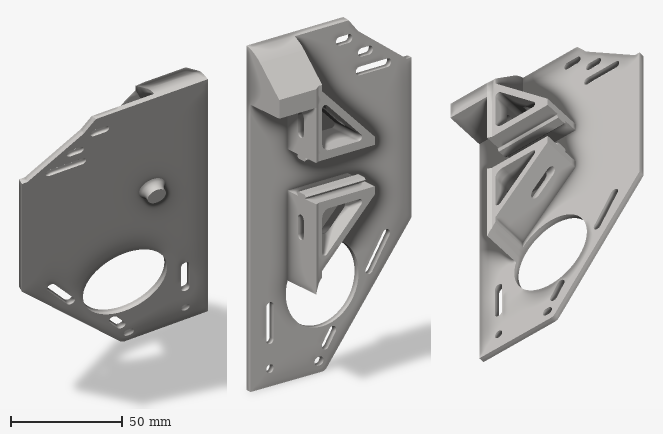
import cadquery as cq
import math

DEPTH = 29.0
WIDTH = 91.8
HEIGHT = 167.5

PLATE_THICKNESS = 3.0
BOSS_LENGTH = 5.0
PLATE_BACK = DEPTH - BOSS_LENGTH
PLATE_FRONT = PLATE_BACK - PLATE_THICKNESS
TOP_CORNER_Y = 36.5
BEVEL_Y = 30.5
BEVEL_Z = 160.1
SHOULDER_Y = 2.7
SHOULDER_Z = 139.7
LOWER_CORNER_Z = 62.1
BOTTOM_CORNER_Y = 49.4
BOTTOM_RISE = 0.3
BOTTOM_CORNER_RADIUS = 3.27
JOINT_Z = 17.0

BORE_DIAMETER = 41.5
BORE_Y = 50.9
BORE_Z = 42.7
SLOT_WIDTH = 4.2
PLATE_SLOTS = [
    ((41.0, 157.8), (35.8, 157.8)),
    ((28.5, 149.2), (24.1, 149.2)),
    ((29.6, 140.5), (13.7, 140.5)),
    ((80.7, 39.0), (80.7, 23.0)),
    ((14.4, 57.8), (24.1, 42.7)),
    ((45.0, 18.6), (49.0, 12.4)),
    ((53.3, 5.5), (52.3, 5.5)),
]
PIN_HOLE_DIAMETER = 4.2
PIN_HOLE_Y = 80.7
PIN_HOLE_Z = 8.9

SLOPE_FOOT_Z = 148.7
CROWN_START_X = 14.0
CROWN_START_Z = 162.3

MIDDLE_Z = 102.8
SEAT_OFFSET = 10.0
GUSSET_INNER_Y = 70.7
WALL_THICKNESS = 4.0
WALL_Y = GUSSET_INNER_Y - WALL_THICKNESS
TIP_Y = 36.7
TIP_HEIGHT = 4.0
BRACE_TOP_OFFSET = 43.5
FACE_SETBACK = 0.8
BEVEL_WIDTH = 2.0

SHELF_THICKNESS = 4.0
BRACE_THICKNESS = 3.3
POCKET_CORNER_RADIUS = 4.0
POCKET_TIP_RADIUS = 1.7

GUSSET_SLOT_X = 11.2
GUSSET_SLOT_OFFSET = 24.8
GUSSET_SLOT_LENGTH = 12.2

RIDGE_X = 10.7
RIDGE_BASE_WIDTH = 5.4
RIDGE_MIDDLE_WIDTH = 6.4
RIDGE_TOP_WIDTH = 4.5
RIDGE_HEIGHT = 2.0

BOSS_Y = 64.3
BOSS_Z = 103.2
BOSS_DIAMETER = 9.0
BOSS_BASE_DIAMETER = 13.0
BOSS_RIM_LENGTH = 1.2


def roof_prism(bottom_z, y_start, y_end):
    """Prism along Y with the sloped and crowned top, from bottom_z upward."""
    return (
        cq.Workplane("XZ", origin=(0, y_start, 0))
        .moveTo(0, bottom_z)
        .lineTo(0, SLOPE_FOOT_Z)
        .lineTo(CROWN_START_X, CROWN_START_Z)
        .tangentArcPoint((PLATE_BACK, HEIGHT), relative=False)
        .lineTo(PLATE_BACK, bottom_z)
        .close()
        .extrude(y_start - y_end)
    )


def slot_cutter(end_a, end_b):
    """Round-ended slot through the plate between two (Y, Z) end centres."""
    run = end_b[0] - end_a[0]
    rise = end_b[1] - end_a[1]
    centre_y = (end_a[0] + end_b[0]) / 2
    centre_z = (end_a[1] + end_b[1]) / 2
    return (
        cq.Workplane("YZ", origin=(PLATE_FRONT, 0, 0))
        .center(centre_y, centre_z)
        .slot2D(math.hypot(run, rise) + SLOT_WIDTH, SLOT_WIDTH, math.degrees(math.atan2(rise, run)))
        .extrude(PLATE_THICKNESS)
    )


def bore_cutter():
    """Large bore along X, through the plate and the lower gusset wall."""
    return (
        cq.Workplane("YZ")
        .center(BORE_Y, BORE_Z)
        .circle(BORE_DIAMETER / 2)
        .extrude(PLATE_BACK)
    )


def full_plate():
    """Whole plate outline with its crowned top edge and small openings."""
    plate = (
        cq.Workplane("YZ", origin=(PLATE_FRONT, 0, 0))
        .polyline([
            (WIDTH, BOTTOM_RISE),
            (WIDTH, HEIGHT),
            (TOP_CORNER_Y, HEIGHT),
            (BEVEL_Y, BEVEL_Z),
            (SHOULDER_Y, SHOULDER_Z),
            (0, SHOULDER_Z),
            (0, LOWER_CORNER_Z),
            (BOTTOM_CORNER_Y, 0),
        ])
        .close()
        .extrude(PLATE_THICKNESS)
    )
    bottom_corner = cq.selectors.NearestToPointSelector((PLATE_FRONT, BOTTOM_CORNER_Y, 0))
    plate = plate.edges("|X").edges(bottom_corner).fillet(BOTTOM_CORNER_RADIUS)
    plate = plate.intersect(roof_prism(0, 0, WIDTH))
    for end_a, end_b in PLATE_SLOTS:
        plate = plate.cut(slot_cutter(end_a, end_b))
    pin_hole = (
        cq.Workplane("YZ", origin=(PLATE_FRONT, 0, 0))
        .center(PIN_HOLE_Y, PIN_HOLE_Z)
        .circle(PIN_HOLE_DIAMETER / 2)
        .extrude(PLATE_THICKNESS)
    )
    return plate.cut(pin_hole)


def gusset_pocket(side):
    """Rounded triangular pocket, parallel to the brace, down to the plate."""
    shelf = SEAT_OFFSET + SHELF_THICKNESS
    brace_rise = BRACE_TOP_OFFSET - SEAT_OFFSET - TIP_HEIGHT
    brace_run = WALL_Y - TIP_Y
    brace_slope = brace_rise / brace_run
    vertical_gap = BRACE_THICKNESS * math.hypot(brace_rise, brace_run) / brace_run
    apex = BRACE_TOP_OFFSET - vertical_gap
    point_y = WALL_Y - (apex - shelf) / brace_slope
    pocket = (
        cq.Workplane("YZ")
        .polyline([
            (WALL_Y, MIDDLE_Z + side * shelf),
            (point_y, MIDDLE_Z + side * shelf),
            (WALL_Y, MIDDLE_Z + side * apex),
        ])
        .close()
        .extrude(PLATE_FRONT)
    )
    square_corner = cq.selectors.NearestToPointSelector((PLATE_FRONT / 2, WALL_Y, MIDDLE_Z + side * shelf))
    pocket = pocket.edges("|X").edges(square_corner).fillet(POCKET_CORNER_RADIUS)
    for tip_y, tip_offset in [(point_y, shelf), (WALL_Y, apex)]:
        tip = cq.selectors.NearestToPointSelector((PLATE_FRONT / 2, tip_y, MIDDLE_Z + side * tip_offset))
        pocket = pocket.edges("|X").edges(tip).fillet(POCKET_TIP_RADIUS)
    return pocket


def seat_ridge(side):
    """Six-sided ridge running along Y on the gusset seat."""
    seat = MIDDLE_Z + side * SEAT_OFFSET
    middle = seat - side * RIDGE_HEIGHT / 2
    top = seat - side * RIDGE_HEIGHT
    return (
        cq.Workplane("XZ", origin=(0, TIP_Y, 0))
        .polyline([
            (RIDGE_X - RIDGE_BASE_WIDTH / 2, seat),
            (RIDGE_X - RIDGE_MIDDLE_WIDTH / 2, middle),
            (RIDGE_X - RIDGE_TOP_WIDTH / 2, top),
            (RIDGE_X + RIDGE_TOP_WIDTH / 2, top),
            (RIDGE_X + RIDGE_MIDDLE_WIDTH / 2, middle),
            (RIDGE_X + RIDGE_BASE_WIDTH / 2, seat),
        ])
        .close()
        .extrude(TIP_Y - GUSSET_INNER_Y)
    )


def gusset(side, wall_end_z):
    """Gusset above (side = 1) or below (side = -1) the middle plane."""
    seat = MIDDLE_Z + side * SEAT_OFFSET
    body = (
        cq.Workplane("YZ")
        .polyline([
            (GUSSET_INNER_Y, seat),
            (TIP_Y, seat),
            (TIP_Y, seat + side * TIP_HEIGHT),
            (WALL_Y, MIDDLE_Z + side * BRACE_TOP_OFFSET),
            (WALL_Y, wall_end_z),
            (GUSSET_INNER_Y, wall_end_z),
        ])
        .close()
        .extrude(PLATE_FRONT)
    )
    slot = (
        cq.Workplane("XZ", origin=(GUSSET_SLOT_X, TIP_Y, MIDDLE_Z + side * GUSSET_SLOT_OFFSET))
        .slot2D(GUSSET_SLOT_LENGTH, SLOT_WIDTH, 90)
        .extrude(TIP_Y - GUSSET_INNER_Y)
    )
    return body.cut(gusset_pocket(side)).union(seat_ridge(side)).cut(slot)


def face_relief():
    """Cutter that sets the gusset faces back behind a shallow bevel."""
    return (
        cq.Workplane("XY")
        .polyline([
            (0, GUSSET_INNER_Y),
            (FACE_SETBACK, GUSSET_INNER_Y - BEVEL_WIDTH),
            (FACE_SETBACK, 0),
            (0, 0),
        ])
        .close()
        .extrude(HEIGHT)
    )


def flared_boss():
    """Boss on the plate back: a concave flare narrowing to a short rim."""
    base_radius = BOSS_BASE_DIAMETER / 2
    rim_radius = BOSS_DIAMETER / 2
    flare_rise = base_radius - rim_radius
    flare_end = DEPTH - BOSS_RIM_LENGTH
    flare_length = flare_end - PLATE_BACK
    flare_radius = (flare_length**2 + flare_rise**2) / (2 * flare_rise)
    half_angle = math.atan2(flare_rise, flare_length)
    middle_x = flare_end - flare_radius * math.sin(half_angle)
    middle_radius = rim_radius + flare_radius * (1 - math.cos(half_angle))
    return (
        cq.Workplane("XY", origin=(0, BOSS_Y, BOSS_Z))
        .moveTo(PLATE_BACK, 0)
        .lineTo(PLATE_BACK, base_radius)
        .threePointArc((middle_x, middle_radius), (flare_end, rim_radius))
        .lineTo(DEPTH, rim_radius)
        .lineTo(DEPTH, 0)
        .close()
        .revolve(360, (0, 0, 0), (1, 0, 0))
    )


def foot_region():
    """Box holding everything below the joint."""
    return cq.Workplane("XY").box(DEPTH, WIDTH, JOINT_Z, centered=False)


def bracket_body():
    """Plate above the joint with its corner block, gussets and boss."""
    corner_block = roof_prism(SHOULDER_Z, WALL_Y, WIDTH)
    upper_gusset = gusset(1, SLOPE_FOOT_Z)
    lower_gusset = gusset(-1, BORE_Z)
    front = corner_block.union(upper_gusset).union(lower_gusset).cut(face_relief())
    body = full_plate().cut(foot_region()).union(front)
    return body.cut(bore_cutter()).union(flared_boss())


def foot_body():
    """Foot strip of the plate, below the joint."""
    return full_plate().intersect(foot_region())


bracket = bracket_body()
foot = foot_body()

result = cq.Compound.makeCompound([bracket.val(), foot.val()])